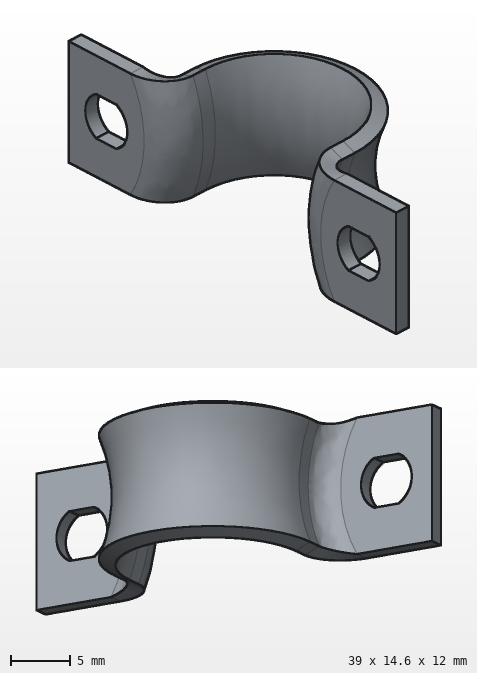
import cadquery as cq
import math

length = 39.0
depth = 14.6
width = 12.0
thickness = 1.52

hollow_radius = 14.2
crest_radius = 9.6

bend_radius = 2.0
foot_length_at_rim = 7.37
hole_diameter = 5.0
hole_height = 4.35
hole_inset = 4.5

bend_steps = 6
guide_rows = 8

bore_curve_radius = hollow_radius + thickness
half_width = width / 2
rim_angle = math.asin(half_width / bore_curve_radius)
saddle_y = depth - crest_radius
bend_y = thickness + bend_radius
arc_centre_x = -crest_radius - hollow_radius * math.cos(rim_angle)
rim_end_x = foot_length_at_rim - length / 2
mid_bore_x = arc_centre_x + bore_curve_radius
mid_end_x = mid_bore_x - bend_radius - thickness


def strip_point(radius, angle, y):
    """Point on an arc of the left-hand strip section."""
    return cq.Vector(arc_centre_x + radius * math.cos(angle), y, radius * math.sin(angle))


def strip_arc(radius, y):
    points = [strip_point(radius, angle, y) for angle in (-rim_angle, 0, rim_angle)]
    return cq.Edge.makeThreePointArc(*points)


def foot_arc(y):
    """Curved line where the flat foot meets the bend."""
    return cq.Edge.makeThreePointArc(
        cq.Vector(rim_end_x, y, -half_width),
        cq.Vector(mid_end_x, y, 0),
        cq.Vector(rim_end_x, y, half_width),
    )


def bend_point(start, end, angle):
    """Point on the quarter ellipse that leaves start along -Y and meets end along -X."""
    across = 1 - math.cos(angle)
    return cq.Vector(
        start.x + (end.x - start.x) * across,
        start.y + (end.y - start.y) * math.sin(angle),
        start.z + (end.z - start.z) * across,
    )


def bend_curve(start, end):
    angles = [math.pi / 2 * step / bend_steps for step in range(bend_steps + 1)]
    points = [bend_point(start, end, angle) for angle in angles]
    return cq.Edge.makeSpline(points)


def bend_sheet(start_arc, end_arc, rims):
    """Smooth face between the strip arc, the foot arc and the two rim curves."""
    guide_points = []
    for row in range(1, guide_rows):
        start = start_arc.positionAt(row / guide_rows)
        end = end_arc.positionAt(row / guide_rows)
        for step in range(1, bend_steps):
            guide_points.append(bend_point(start, end, math.pi / 2 * step / bend_steps))
    return cq.Face.makeNSidedSurface([start_arc, rims[0], end_arc, rims[1]], guide_points)


def make_bend():
    start_arcs = [strip_arc(bore_curve_radius, bend_y), strip_arc(hollow_radius, bend_y)]
    end_arcs = [foot_arc(0), foot_arc(thickness)]
    rims = [
        [bend_curve(start.positionAt(end), foot.positionAt(end)) for end in (0, 1)]
        for start, foot in zip(start_arcs, end_arcs)
    ]
    faces = [bend_sheet(*side) for side in zip(start_arcs, end_arcs, rims)]
    faces.append(cq.Face.makeRuledSurface(*start_arcs))
    faces.append(cq.Face.makeRuledSurface(*end_arcs))
    for bore_rim, hollow_rim in zip(*rims):
        faces.append(cq.Face.makeRuledSurface(bore_rim, hollow_rim))
    bend = cq.Solid.makeSolid(cq.Shell.makeShell(faces))
    return cq.Workplane(bend.fix())


def strip_section():
    """Closed left-hand strip section, on the plane through the saddle axis."""
    bore_points = [strip_point(bore_curve_radius, a, 0) for a in (-rim_angle, 0, rim_angle)]
    hollow_points = [strip_point(hollow_radius, a, 0) for a in (rim_angle, 0, -rim_angle)]
    return (
        cq.Workplane("XZ", origin=(0, saddle_y, 0))
        .moveTo(bore_points[0].x, bore_points[0].z)
        .threePointArc(*[(p.x, p.z) for p in bore_points[1:]])
        .lineTo(hollow_points[0].x, hollow_points[0].z)
        .threePointArc(*[(p.x, p.z) for p in hollow_points[1:]])
        .close()
    )


def make_arch():
    return strip_section().revolve(180, (0, 0), (0, -1))


def make_leg():
    return strip_section().extrude(saddle_y - bend_y)


def make_foot():
    end_x = -length / 2
    foot = (
        cq.Workplane("XZ")
        .moveTo(end_x, -half_width)
        .lineTo(rim_end_x, -half_width)
        .threePointArc((mid_end_x, 0), (rim_end_x, half_width))
        .lineTo(end_x, half_width)
        .close()
        .extrude(-thickness)
    )
    hole_x = end_x + hole_inset
    hole = cq.Workplane("XZ").center(hole_x, 0).circle(hole_diameter / 2).extrude(-thickness)
    flats = cq.Workplane("XZ").center(hole_x, 0).rect(hole_diameter, hole_height).extrude(-thickness)
    return foot.cut(hole.intersect(flats))


result = make_arch()
for piece in (make_leg(), make_bend(), make_foot()):
    result = result.union(piece).union(piece.mirror("YZ"))